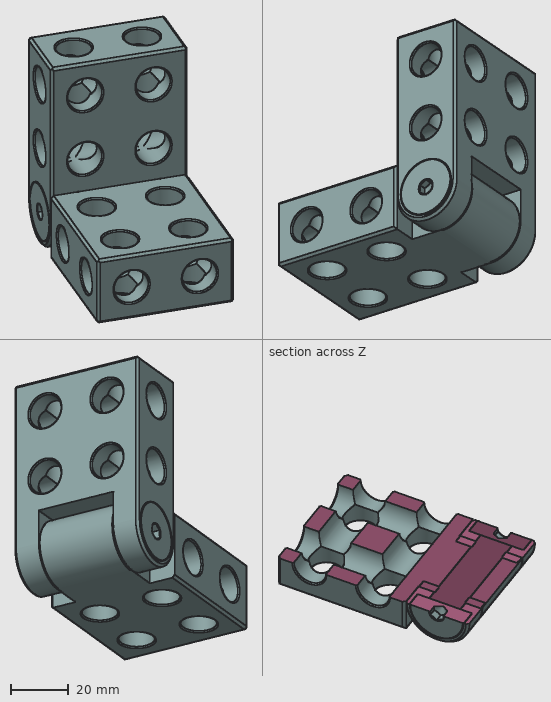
import cadquery as cq
import math


overall_length = 75.0
grid = overall_length / 3
leaf_width = 2 * grid
half_grid = grid / 2
leaf_reach = overall_length - half_grid
edge_chamfer = 1.0

hole_diameter = 12.5
hole_chamfer = 0.5
hole_rows = [-half_grid, half_grid]
hole_stations = [grid, 2 * grid]

knuckle_width = 30.0
knuckle_chamfer = 0.5
pin_diameter = 12.0
washer_thickness = 3.0
washer_diameter = grid - 2 * knuckle_chamfer

cap_diameter = 21.15
cap_thickness = 6.0
cap_chamfer = 0.3
socket_flats = 5.0
socket_depth = 3.0
socket_mouth_diameter = 6.0
socket_mouth_slope = math.radians(30)
socket_floor_slope = math.radians(30)
socket_corners = socket_flats / math.cos(math.pi / 6)


def cylinder_y(diameter, y_start, y_end):
    """Cylinder on the hinge axis between two Y positions."""
    length = y_end - y_start
    return cq.Workplane("XZ", origin=(0, y_start, 0)).circle(diameter / 2).extrude(-length)


def revolve_about_y(radius_and_y):
    """Solid turned about the hinge axis from (radius, Y) points."""
    return cq.Workplane("XY").polyline(radius_and_y).close().revolve(360, (0, 0, 0), (0, 1, 0))


def mirrored_pair(body):
    """The body and its copy at the other end of the hinge."""
    return [body, body.mirror("XZ")]


def chamfered_hole(start, direction, depth, through):
    """Cutter for a hole whose mouth, and exit if it passes through, is chamfered."""
    radius = hole_diameter / 2
    mouth_radius = radius + hole_chamfer
    start = cq.Vector(*start)
    direction = cq.Vector(*direction)
    cutter = cq.Solid.makeCylinder(radius, depth, start, direction)
    cutter = cutter.fuse(cq.Solid.makeCone(mouth_radius, radius, hole_chamfer, start, direction))
    if through:
        end = start + direction * depth
        cutter = cutter.fuse(cq.Solid.makeCone(mouth_radius, radius, hole_chamfer, end, direction * -1))
    return cq.Workplane(cutter)


def drill_upright_grid(leaf):
    """Drill an upright leaf: through holes along X and Y, blind holes down from its top."""
    for station in hole_stations:
        leaf = leaf.cut(chamfered_hole((0, -leaf_width / 2, station), (0, 1, 0), leaf_width, True))
        for row in hole_rows:
            leaf = leaf.cut(chamfered_hole((-half_grid, row, station), (1, 0, 0), grid, True))
    blind_depth = leaf_reach - hole_stations[0]
    for row in hole_rows:
        leaf = leaf.cut(chamfered_hole((0, row, leaf_reach), (0, 0, -1), blind_depth, False))
    return leaf


def upright_to_flat(leaf):
    """Swing an upright leaf down about the hinge axis until it lies along +X."""
    return leaf.rotate((0, 0, 0), (0, 1, 0), 90)


def chamfer_top(leaf):
    """Chamfer the four top edges of an upright leaf, mitred with the chamfers along its sides."""
    blank = cq.Workplane("XY").box(grid, leaf_width, 2 * leaf_reach)
    for edge_direction in ["|X", "|Y"]:
        leaf = leaf.intersect(blank.edges(">Z").edges(edge_direction).chamfer(edge_chamfer))
    return leaf


def make_fork_leaf():
    """Upright leaf with a rounded foot, slotted for the knuckle and bored for pin and caps."""
    leaf = (
        cq.Workplane("XZ", origin=(0, leaf_width / 2, 0))
        .moveTo(-half_grid, leaf_reach)
        .lineTo(-half_grid, 0)
        .threePointArc((0, -half_grid), (half_grid, 0))
        .lineTo(half_grid, leaf_reach)
        .close()
        .extrude(leaf_width)
    )
    leaf = leaf.faces("<Y or >Y").edges("not >Z").chamfer(edge_chamfer)
    leaf = chamfer_top(leaf)
    slot = cq.Workplane("XY").box(grid, knuckle_width, grid)
    leaf = drill_upright_grid(leaf.cut(slot))
    leaf = leaf.cut(cylinder_y(pin_diameter, -leaf_width / 2, leaf_width / 2))
    cap_seat = cylinder_y(cap_diameter, -leaf_width / 2, cap_thickness - leaf_width / 2)
    for seat in mirrored_pair(cap_seat):
        leaf = leaf.cut(seat)
    return leaf


def make_knuckle():
    """Round knuckle with chamfered rims."""
    end = knuckle_width / 2
    rim = end - knuckle_chamfer
    face_radius = half_grid - knuckle_chamfer
    return revolve_about_y(
        [(0, -end), (face_radius, -end), (half_grid, -rim), (half_grid, rim), (face_radius, end), (0, end)]
    )


def make_knuckle_leaf():
    """Flat leaf whose neck and knuckle fill the fork slot."""
    body_length = leaf_reach - half_grid
    body = cq.Workplane("XY").box(grid, leaf_width, body_length)
    body = body.translate((0, 0, half_grid + body_length / 2))
    body = body.edges("|Z").chamfer(edge_chamfer)
    body = body.faces(">Y").edges("<Z").chamfer(edge_chamfer)
    body = chamfer_top(body)
    neck = cq.Workplane("XY").box(grid, knuckle_width, half_grid).translate((0, 0, half_grid / 2))
    leaf = upright_to_flat(drill_upright_grid(body).union(neck))
    leaf = leaf.union(make_knuckle())
    leaf = leaf.cut(cylinder_y(pin_diameter, -knuckle_width / 2, knuckle_width / 2))
    washer_seat = cylinder_y(washer_diameter, -knuckle_width / 2, washer_thickness - knuckle_width / 2)
    for seat in mirrored_pair(washer_seat):
        leaf = leaf.cut(seat)
    return leaf


def make_pin():
    """Plain pin between the two end caps."""
    half_length = leaf_width / 2 - cap_thickness
    return cylinder_y(pin_diameter, -half_length, half_length)


def make_washer():
    """Thrust washer recessed in the -Y end of the knuckle."""
    outer_face = -knuckle_width / 2
    inner_face = outer_face + washer_thickness
    washer = cylinder_y(washer_diameter, outer_face, inner_face)
    return washer.cut(cylinder_y(pin_diameter, outer_face, inner_face))


def make_cap():
    """End cap at -Y: chamfered outer rim and a hexagon socket with a conical floor."""
    outer_face = -leaf_width / 2
    cap = cylinder_y(cap_diameter, outer_face, outer_face + cap_thickness)
    cap = cap.faces("<Y").chamfer(cap_chamfer)
    corner_radius = socket_corners / 2
    floor_rim = outer_face + socket_depth
    floor_tip = floor_rim + corner_radius * math.tan(socket_floor_slope)
    drilled = revolve_about_y(
        [(0, outer_face), (corner_radius, outer_face), (corner_radius, floor_rim), (0, floor_tip)]
    )
    hexagon = (
        cq.Workplane("XZ", origin=(0, outer_face, 0))
        .polygon(6, socket_corners)
        .extrude(-cap_thickness)
        .rotate((0, 0, 0), (0, 1, 0), 30)
    )
    mouth_radius = socket_mouth_diameter / 2
    mouth_depth = mouth_radius * math.tan(socket_mouth_slope)
    mouth = revolve_about_y([(0, outer_face), (mouth_radius, outer_face), (0, outer_face + mouth_depth)])
    return cap.cut(drilled.intersect(hexagon)).cut(mouth)


fork_leaf = make_fork_leaf()
knuckle_leaf = make_knuckle_leaf()
pin = make_pin()
washers = mirrored_pair(make_washer())
caps = mirrored_pair(make_cap())

result = cq.Compound.makeCompound(
    [
        fork_leaf.val(),
        knuckle_leaf.val(),
        pin.val(),
        *[washer.val() for washer in washers],
        *[cap.val() for cap in caps],
    ]
)